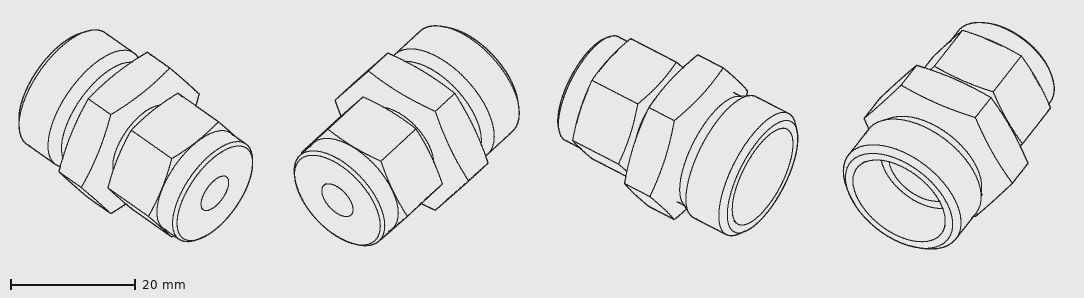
import cadquery as cq
import math

LENGTH = 34.0
END_CHAMFER = 1.0
THREAD_END_X = 7.4
GROOVE_X = 9.4
BODY_HEX_X = 12.0
BODY_HEX_END_X = 18.0
NUT_HEX_X = 20.25
NUT_HEX_END_X = 30.02

THREAD_DIAMETER = 22.0
GROOVE_DIAMETER = 19.85
GROOVE_FILLET = 1.0
BODY_HEX_FLATS = 24.0
NECK_DIAMETER = 14.0
NUT_HEX_FLATS = 19.0
COLLAR_DIAMETER = 18.8
COLLAR_CHAMFER = 0.5
HEX_CHAMFER_ANGLE = 15.0

MOUTH_DIAMETER = 17.25
SOCKET_DIAMETER = 15.0
SEAL_CONE_ANGLE = 12.0
SOCKET_DEPTH = 7.0
DRILL_DIAMETER = 12.0
DRILL_DEPTH = 15.3
DRILL_POINT_ANGLE = 120.0
THROUGH_DIAMETER = 6.5

seal_cone_depth = (MOUTH_DIAMETER - SOCKET_DIAMETER) / 2 / math.tan(math.radians(SEAL_CONE_ANGLE))
drill_point_length = (DRILL_DIAMETER - THROUGH_DIAMETER) / 2 / math.tan(math.radians(DRILL_POINT_ANGLE / 2))


def revolve_about_x(profile):
    """Close an XY profile and turn it a full revolution about the X axis."""
    return profile.close().revolve(360, (0, 0, 0), (1, 0, 0))


def cylinder(start_x, end_x, diameter):
    return cq.Workplane("YZ", origin=(start_x, 0, 0)).circle(diameter / 2).extrude(end_x - start_x)


def chamfered_hex(start_x, end_x, flats):
    """Hexagon with flats facing +Z and -Z, its corners turned down at both ends."""
    across_corners = flats / math.cos(math.pi / 6)
    prism = cq.Workplane("YZ", origin=(start_x, 0, 0)).polygon(6, across_corners).extrude(end_x - start_x)

    flat_radius = flats / 2
    corner_radius = across_corners / 2
    setback = (corner_radius - flat_radius) * math.tan(math.radians(HEX_CHAMFER_ANGLE))
    envelope = revolve_about_x(
        cq.Workplane("XY")
        .moveTo(start_x, 0)
        .lineTo(start_x, flat_radius)
        .lineTo(start_x + setback, corner_radius)
        .lineTo(end_x - setback, corner_radius)
        .lineTo(end_x, flat_radius)
        .lineTo(end_x, 0)
    )
    return prism.intersect(envelope)


def threaded_end():
    """Chamfered thread blank with a relief groove that flares into the body hexagon."""
    thread_radius = THREAD_DIAMETER / 2
    groove_radius = GROOVE_DIAMETER / 2
    fillet_start_x = BODY_HEX_X - GROOVE_FILLET
    fillet_offset = GROOVE_FILLET * math.sin(math.pi / 4)
    fillet_middle = (
        fillet_start_x + fillet_offset,
        groove_radius + GROOVE_FILLET - fillet_offset,
    )
    return revolve_about_x(
        cq.Workplane("XY")
        .lineTo(0, thread_radius - END_CHAMFER)
        .lineTo(END_CHAMFER, thread_radius)
        .lineTo(THREAD_END_X, thread_radius)
        .lineTo(GROOVE_X, groove_radius)
        .lineTo(fillet_start_x, groove_radius)
        .threePointArc(fillet_middle, (BODY_HEX_X, groove_radius + GROOVE_FILLET))
        .lineTo(BODY_HEX_X, 0)
    )


def nut_collar():
    """Round collar behind the nut hexagon, chamfered at its outer end."""
    collar = cylinder(NUT_HEX_END_X, LENGTH, COLLAR_DIAMETER)
    return collar.faces(">X").edges().chamfer(COLLAR_CHAMFER)


def bore():
    """Cutting body for the stepped bore along the whole fitting."""
    return revolve_about_x(
        cq.Workplane("XY")
        .lineTo(0, MOUTH_DIAMETER / 2)
        .lineTo(seal_cone_depth, SOCKET_DIAMETER / 2)
        .lineTo(SOCKET_DEPTH, SOCKET_DIAMETER / 2)
        .lineTo(SOCKET_DEPTH, DRILL_DIAMETER / 2)
        .lineTo(DRILL_DEPTH, DRILL_DIAMETER / 2)
        .lineTo(DRILL_DEPTH + drill_point_length, THROUGH_DIAMETER / 2)
        .lineTo(LENGTH, THROUGH_DIAMETER / 2)
        .lineTo(LENGTH, 0)
    )


result = (
    threaded_end()
    .union(chamfered_hex(BODY_HEX_X, BODY_HEX_END_X, BODY_HEX_FLATS))
    .union(cylinder(BODY_HEX_END_X, NUT_HEX_X, NECK_DIAMETER))
    .union(chamfered_hex(NUT_HEX_X, NUT_HEX_END_X, NUT_HEX_FLATS))
    .union(nut_collar())
    .cut(bore())
)